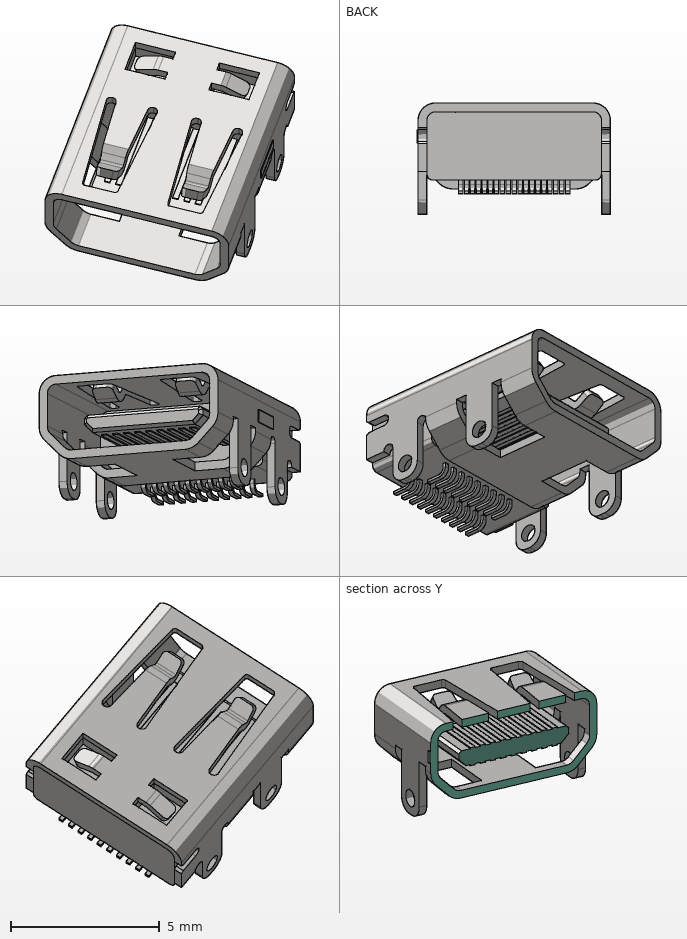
import cadquery as cq
import math


length = 7.5
shell_width = 6.48
shell_height = 2.9
wall = 0.3
bend_radius = 0.6
lower_bend_radius = 0.675
lower_chamfer = 0.91
bottom_rear = 4.82
half_width = shell_width / 2
inner_half_width = half_width - wall
inner_top = shell_height - wall

total_height = 3.75
leg_bottom = shell_height - total_height
leg_corner_radius = 0.49
leg_hole_diameter = 0.6
leg_hole_z = -0.255
front_leg_y = (1.8, 2.99)
rear_leg_y = (5.2, 6.31)
window_y = (1.4, 3.41)
window_top = 1.31
window_inner_x = 1.05
side_rear_bottom = 0.585
round_end = 0.49
relief_width = 0.405

rear_slot_width = 0.4
rear_slot_end = 6.5
rear_slot_z = 1.8
rear_slot_flare_length = 0.11
rear_slot_flare_height = 0.07

pad_height = 0.03
pad_y = (3.64, 4.97)
pad_z = (1.55, 1.99)

finger_x = 1.5
finger_root_y = 4.43
finger_bend_y = 2.49
finger_tip_y = 1.29
finger_root_half = 0.57
finger_tip_half = 0.36
finger_taper = (finger_root_half - finger_tip_half) / (finger_root_y - finger_tip_y)
finger_bend_half = finger_root_half - finger_taper * (finger_root_y - finger_bend_y)
finger_zero_half = finger_root_half - finger_taper * finger_root_y
opening_front_y = 0.6
opening_root_half = 0.91
opening_front_half = 0.615
opening_corner_radius = 0.11
slot_end_radius = 0.16
finger_steps = [
    ("bend", 45.0, 0.26),
    ("run", 0.255),
    ("bend", -80.0, 0.24),
    ("run", 0.525),
]
finger_tip_radius = 0.165

tab_window_x = (0.77, 2.18)
tab_window_y = (5.71, 6.9)
tab_width = 0.6
tab_bend_x = 1.1
tab_steps = [("bend", 22.0, 0.33), ("run", 0.765)]
tab_tip_radius = 0.195
tab_pocket_floor = shell_height - 0.75

insulator_corner_radius = 0.21
tongue_half_width = 2.145
tongue_tip_y = 1.28
tongue_top = 1.755
tongue_bottom = 1.15
tongue_lower_chamfer = 0.29
tongue_upper_chamfer = 0.105
tongue_tip_bevel = 0.11

rear_row_count = 10
front_row_count = 9
rear_row_span = 3.6
contact_pitch = rear_row_span / (rear_row_count - 1)
strip_count = 9
strip_width = 0.195
strip_height = 0.04
strip_front_y = 1.785
tail_width = 0.16
tail_thickness = 0.1
tail_bend_radius = 0.26
tail_underside = -0.16
tail_foot_length = 0.49
rear_row_end = length
front_row_end = 6.135
tail_rows = [(rear_row_count, rear_row_end), (front_row_count, front_row_end)]


def box(x_range, y_range, z_range):
    """Box between the given limits."""
    size = [high - low for low, high in (x_range, y_range, z_range)]
    corner = cq.Vector(x_range[0], y_range[0], z_range[0])
    return cq.Workplane(cq.Solid.makeBox(*size, pnt=corner))


def both_sides(shape):
    """The shape and its mirror image across the middle plane."""
    return [shape, shape.mirror("YZ")]


def strip_edges(plane, start, heading, steps, offset):
    """Edges of a line that follows the steps, shifted to the left by the offset."""
    edges = []
    x, y = start
    angle = math.radians(heading)

    def shifted(px, py, direction):
        left = (px - offset * math.sin(direction), py + offset * math.cos(direction))
        return plane.toWorldCoords(left)

    for kind, *values in steps:
        first = shifted(x, y, angle)
        if kind == "run":
            x += values[0] * math.cos(angle)
            y += values[0] * math.sin(angle)
            edges.append(cq.Edge.makeLine(first, shifted(x, y, angle)))
            continue
        turn = math.radians(values[0])
        radius = math.copysign(values[1], turn)
        centre_x = x - radius * math.sin(angle)
        centre_y = y + radius * math.cos(angle)
        arc = [first]
        for part in (0.5, 1.0):
            direction = angle + part * turn
            x = centre_x + radius * math.sin(direction)
            y = centre_y - radius * math.cos(direction)
            arc.append(shifted(x, y, direction))
        angle += turn
        edges.append(cq.Edge.makeThreePointArc(*arc))
    return edges


def bent_strip(plane_name, start, heading, steps, thickness, width):
    """Bent sheet strip whose mid-line follows the steps, centred on its plane."""
    plane = cq.Plane.named(plane_name)
    left = strip_edges(plane, start, heading, steps, thickness / 2)
    right = strip_edges(plane, start, heading, steps, -thickness / 2)
    ends = [
        cq.Edge.makeLine(left[0].startPoint(), right[0].startPoint()),
        cq.Edge.makeLine(left[-1].endPoint(), right[-1].endPoint()),
    ]
    outline = cq.Wire.assembleEdges(left + right + ends)
    strip = cq.Solid.extrudeLinear(outline, [], plane.zDir * width)
    return cq.Workplane(strip).translate(plane.zDir * (-width / 2))


def rounded_bar(inset):
    """Solid bar with the cross-section of the mating end, inset all round."""
    half = half_width - inset
    low = inset
    high = shell_height - inset
    chamfer = lower_chamfer - inset * (2 - math.sqrt(2))
    points = [
        (-half, high),
        (half, high),
        (half, low + chamfer),
        (half - chamfer, low),
        (chamfer - half, low),
        (-half, low + chamfer),
    ]
    bar = cq.Workplane("XZ").polyline(points).close().extrude(-length)
    bar = bar.faces(">Z").edges("|Y").fillet(bend_radius - inset)
    lower_edges = bar.faces("<Z or <(1, 0, 1) or <(-1, 0, 1)").edges("|Y")
    return lower_edges.fillet(lower_bend_radius - inset)


def side_plate():
    """Left side sheet with its legs, slots and reliefs; straight down to the leg ends."""
    sheet_x = (-half_width, -inner_half_width)
    top = shell_height - bend_radius
    plate = box(sheet_x, (bottom_rear, length), (side_rear_bottom, top))
    for leg_y in (front_leg_y, rear_leg_y):
        leg = box(sheet_x, leg_y, (leg_bottom, top))
        leg = leg.edges("|X and <Z").fillet(leg_corner_radius)
        plate = plate.union(leg)

    slot_y = (bottom_rear, rear_leg_y[0])
    slot = box(sheet_x, slot_y, (leg_bottom, window_top))
    slot = slot.edges("|X and >Z").fillet(round_end * (slot_y[1] - slot_y[0]))
    plate = plate.cut(slot)

    relief_y = (rear_leg_y[1], rear_leg_y[1] + relief_width)
    relief = box(sheet_x, relief_y, (leg_bottom, side_rear_bottom + relief_width / 2))
    relief = relief.edges("|X and >Z").fillet(round_end * relief_width)
    plate = plate.cut(relief)

    for leg_y in (front_leg_y, rear_leg_y):
        hole = (
            cq.Workplane("YZ", origin=(-half_width, 0, 0))
            .center(sum(leg_y) / 2, leg_hole_z)
            .circle(leg_hole_diameter / 2)
            .extrude(wall)
        )
        plate = plate.cut(hole)
    return plate.cut(rear_slot())


def rear_slot():
    """Round-ended slot open to the rear, with a flared mouth."""
    half = rear_slot_width / 2
    mouth_half = half + rear_slot_flare_height
    flare_y = length - rear_slot_flare_length
    return (
        cq.Workplane("YZ", origin=(-half_width, 0, 0))
        .moveTo(length, rear_slot_z + mouth_half)
        .lineTo(flare_y, rear_slot_z + half)
        .lineTo(rear_slot_end + half, rear_slot_z + half)
        .threePointArc((rear_slot_end, rear_slot_z), (rear_slot_end + half, rear_slot_z - half))
        .lineTo(flare_y, rear_slot_z - half)
        .lineTo(length, rear_slot_z - mouth_half)
        .close()
        .extrude(wall)
    )


def finger_opening():
    """Tapered opening around the left finger, with two slots beside its root."""
    half_outline = [
        (finger_bend_half, finger_bend_y),
        (finger_root_half, finger_root_y),
        (opening_root_half, finger_root_y),
        (opening_front_half, opening_front_y),
    ]
    other_half = [(-x, y) for x, y in reversed(half_outline)]
    opening = (
        cq.Workplane("XY", origin=(-finger_x, 0, inner_top))
        .polyline(half_outline + other_half)
        .close()
        .extrude(wall)
    )
    opening = opening.faces(">Y").edges("|Z").fillet(slot_end_radius)
    opening = opening.faces("<Y").edges("|Z").fillet(opening_corner_radius)
    return opening


def finger_end():
    """Bent end of the left finger: down towards the mating plug and up again at the tip."""
    start = (finger_bend_y, shell_height - wall / 2)
    strip = bent_strip("YZ", start, 180.0, finger_steps, wall, 2 * finger_root_half)
    outline = [
        (-finger_bend_half, finger_bend_y),
        (finger_bend_half, finger_bend_y),
        (finger_zero_half, 0),
        (-finger_zero_half, 0),
    ]
    taper = cq.Workplane("XY").polyline(outline).close().extrude(shell_height)
    finger = strip.intersect(taper)
    finger = finger.faces("<Y").edges("not |X").fillet(finger_tip_radius)
    return finger.translate((-finger_x, 0, 0))


def latch_tab():
    """Left tab, running outwards and sloping down inside its window."""
    start = (-tab_window_x[0], shell_height - wall / 2)
    steps = [("run", tab_bend_x - tab_window_x[0])] + tab_steps
    tab = bent_strip("XZ", start, 180.0, steps, wall, tab_width)
    tab = tab.faces("<X").edges("not |Y").fillet(tab_tip_radius)
    return tab.translate((0, sum(tab_window_y) / 2, 0))


def tab_window(floor):
    """Left rectangular window from the top of the shell down to the floor."""
    return box((-tab_window_x[1], -tab_window_x[0]), tab_window_y, (floor, shell_height))


def make_shell():
    """Sheet metal shell with its legs, fingers and latch tabs."""
    shell = rounded_bar(0).cut(rounded_bar(wall))
    below_bends = (leg_bottom, shell_height - bend_radius)
    behind_bottom = box((-half_width, half_width), (bottom_rear, length), below_bends)
    shell = shell.cut(behind_bottom)
    leg_window = box((-half_width, -window_inner_x), window_y, (0, window_top))
    for window in both_sides(leg_window):
        shell = shell.cut(window)
    for plate in both_sides(side_plate()):
        shell = shell.union(plate)
    for opening in both_sides(finger_opening()) + both_sides(tab_window(inner_top)):
        shell = shell.cut(opening)
    for spring in both_sides(finger_end()) + both_sides(latch_tab()):
        shell = shell.union(spring)
    return shell.union(box((half_width, half_width + pad_height), pad_y, pad_z))


def insulator_block():
    """Block that fills the rear of the shell, with pockets under the latch tabs."""
    inner_x = (-inner_half_width, inner_half_width)
    block = box(inner_x, (bottom_rear, length), (wall, inner_top))
    block = block.edges("|Y and >Z").fillet(bend_radius - wall)
    block = block.edges("|Y and <Z").fillet(insulator_corner_radius)
    for pocket in both_sides(tab_window(tab_pocket_floor)):
        block = block.cut(pocket)
    return block


def tongue():
    """Tongue of the insulator with chamfered corners and a bevelled tip."""
    half_outline = [
        (tongue_half_width - tongue_upper_chamfer, tongue_top),
        (tongue_half_width, tongue_top - tongue_upper_chamfer),
        (tongue_half_width, tongue_bottom + tongue_lower_chamfer),
        (tongue_half_width - tongue_lower_chamfer, tongue_bottom),
    ]
    other_half = [(-x, z) for x, z in reversed(half_outline)]
    bar = (
        cq.Workplane("XZ", origin=(0, tongue_tip_y, 0))
        .polyline(half_outline + other_half)
        .close()
        .extrude(tongue_tip_y - bottom_rear)
    )
    return bar.faces("<Y").chamfer(tongue_tip_bevel)


def contact_positions(count):
    """X places of a row of contacts, centred on the connector."""
    return [(index - (count - 1) / 2) * contact_pitch for index in range(count)]


def contact_strip(x):
    """Contact showing as a low strip on both faces of the tongue."""
    x_range = (x - strip_width / 2, x + strip_width / 2)
    z_range = (tongue_bottom - strip_height, tongue_top + strip_height)
    return box(x_range, (strip_front_y, bottom_rear), z_range)


def solder_tail(x, end_y):
    """Tail with a flat foot, bent up into the underside of the insulator block."""
    foot_z = tail_underside + tail_thickness / 2
    rise = wall - foot_z - tail_bend_radius
    steps = [("run", tail_foot_length), ("bend", -90.0, tail_bend_radius), ("run", rise)]
    tail = bent_strip("YZ", (end_y, foot_z), 180.0, steps, tail_thickness, tail_width)
    return tail.translate((x, 0, 0))


def make_insulator():
    """Insulator block and tongue together with the contacts fixed in them."""
    insulator = insulator_block().union(tongue())
    for x in contact_positions(strip_count):
        insulator = insulator.union(contact_strip(x))
    for count, end_y in tail_rows:
        for x in contact_positions(count):
            insulator = insulator.union(solder_tail(x, end_y))
    return insulator


shell = make_shell().solids()
insulator = make_insulator().solids()
result = cq.Compound.makeCompound([shell.val(), insulator.val()])